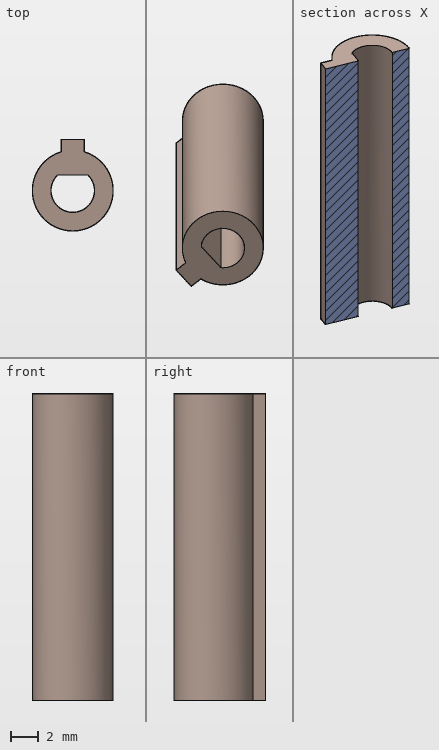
import cadquery as cq

length = 22.0
outer_diameter = 5.8
bore_diameter = 3.1
flat_offset = 1.1
key_width = 1.67
key_reach = 3.67


def make_body():
    """Round tube blank with a full-length key on its +Y side."""
    tube = cq.Workplane("XY").circle(outer_diameter / 2).extrude(length)
    key = cq.Workplane("XY").box(key_width, key_reach, length, centered=(True, False, False))
    return tube.union(key)


def make_bore():
    """D-shaped through bore with its flat facing the key."""
    bore_radius = bore_diameter / 2
    round_bore = cq.Workplane("XY").circle(bore_radius).extrude(length)
    below_flat = (
        cq.Workplane("XY")
        .center(0, flat_offset - bore_radius)
        .rect(bore_diameter, 2 * bore_radius)
        .extrude(length)
    )
    return round_bore.intersect(below_flat)


result = make_body().cut(make_bore())